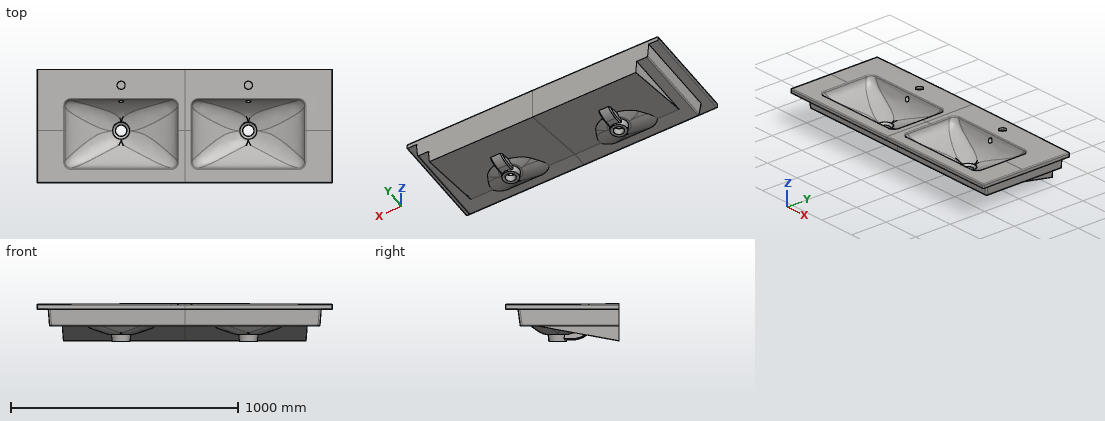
import cadquery as cq


LENGTH = 1300.3
DEPTH = 500.15
HEIGHT = 167.74

DECK_BOTTOM = -25.0
DECK_CROWN = 2.7
DECK_TOP_ROUND = 5.0
DECK_BOTTOM_ROUND = 4.0
DECK_CORNER_ROUND = 5.0

BODY_SIDE_INSET = 49.0
BODY_FRONT_INSET = 55.0
BODY_BOTTOM = -99.0
BODY_SIDE_DRAFT = 6.0
BODY_FRONT_DRAFT = 10.0
BODY_CORNER_ROUND = 9.0
BODY_BOTTOM_ROUND = 6.0

WEDGE_SIDE_INSET = 111.0
WEDGE_SIDE_DRAFT = 5.0
WEDGE_BOTTOM = -164.5
WEDGE_REACH = 355.0

BOWL_OFFSET = 280.0
BOWL_Y = -285.0
DRAIN_Y = -270.0
WALL = 14.0
FLOOR = -122.0
DRAIN_DIAMETER = 48.55
DRAIN_SEAT_RADIUS = 37.0
DRAIN_SEAT_DEPTH = 9.0
SPUD_TOP = -136.0
SPUD_TOP_RADIUS = 43.0
SPUD_BOTTOM_RADIUS = 39.0
BOWL_RIM_ROUND = 5.0

BOWL_LEVELS = [
    (0.0, 495.0, 305.0, 28.0, BOWL_Y),
    (-30.0, 477.0, 289.0, 36.0, BOWL_Y),
    (-62.0, 394.0, 250.0, 50.0, -281.0),
    (-90.0, 266.0, 188.0, 62.0, -273.0),
    (-110.0, 156.0, 134.0, 60.0, -271.0),
    (FLOOR, 78.0, 78.0, 38.0, DRAIN_Y),
]
HIDDEN_SHELL_LEVELS = 2

TAP_Y = -70.0
TAP_DIAMETER = 36.0
TAP_DEPTH = 10.0
OVERFLOW_DIAMETER = 22.0
OVERFLOW_Z = -33.0
OVERFLOW_END_Y = -125.0
CHANNEL_WIDTH = 60.0
CHANNEL_EDGE = 6.0
CHANNEL_START_Y = -130.0
CHANNEL_START_Z = -128.0
CHANNEL_BEND_Y = -165.0
CHANNEL_BEND_Z = -152.0
CHANNEL_FLAT_Y = -201.0
CHANNEL_BOTTOM = -160.0


def deck():
    """Level slab, rounded on its three free sides."""
    slab = cq.Workplane("XY", origin=(0, -DEPTH / 2, DECK_BOTTOM)).box(
        LENGTH, DEPTH, -DECK_CROWN - DECK_BOTTOM, centered=(True, True, False)
    )
    slab = slab.edges("|Z and <Y").fillet(DECK_CORNER_ROUND)
    slab = slab.faces("<Z").edges("not >Y").fillet(DECK_BOTTOM_ROUND)
    return slab.faces(">Z").edges("not >Y").fillet(DECK_TOP_ROUND)


def deck_crown():
    """Slight rise along the wall that fades into the level deck."""
    half = LENGTH / 2 - DECK_TOP_ROUND
    root = -DECK_CROWN - DECK_TOP_ROUND
    return (
        cq.Workplane("XZ")
        .moveTo(-half, root)
        .lineTo(half, root)
        .lineTo(half, -DECK_CROWN)
        .threePointArc((0, 0), (-half, -DECK_CROWN))
        .close()
        .workplane(offset=-DRAIN_Y)
        .moveTo(-half, root)
        .lineTo(half, root)
        .lineTo(half, -DECK_CROWN)
        .lineTo(-half, -DECK_CROWN)
        .close()
        .loft(ruled=True)
    )


def tapered_block(top_z, bottom_z, top_half, bottom_half, top_reach, bottom_reach):
    """Block against the wall with its own half length and reach at each level."""
    return (
        cq.Workplane("XY", origin=(0, 0, top_z))
        .center(0, -top_reach / 2)
        .rect(2 * top_half, top_reach)
        .workplane(offset=bottom_z - top_z)
        .center(0, (top_reach - bottom_reach) / 2)
        .rect(2 * bottom_half, bottom_reach)
        .loft(ruled=True)
    )


def body():
    top_half = LENGTH / 2 - BODY_SIDE_INSET
    top_reach = DEPTH - BODY_FRONT_INSET
    block = tapered_block(
        DECK_BOTTOM,
        BODY_BOTTOM,
        top_half,
        top_half - BODY_SIDE_DRAFT,
        top_reach,
        top_reach - BODY_FRONT_DRAFT,
    )
    block = block.faces("<Y").edges("not |X").fillet(BODY_CORNER_ROUND)
    return block.faces("<Z").edges("not >Y").fillet(BODY_BOTTOM_ROUND)


def wedge():
    top_half = LENGTH / 2 - WEDGE_SIDE_INSET
    block = tapered_block(
        BODY_BOTTOM,
        WEDGE_BOTTOM,
        top_half,
        top_half - WEDGE_SIDE_DRAFT,
        WEDGE_REACH,
        WEDGE_REACH,
    )
    profile = (
        cq.Workplane("YZ")
        .polyline([(0, BODY_BOTTOM), (0, WEDGE_BOTTOM), (-WEDGE_REACH, BODY_BOTTOM)])
        .close()
        .extrude(LENGTH / 2, both=True)
    )
    return block.intersect(profile)


def bowl_form(x, levels, wall):
    """Dish lofted through rounded rectangles, grown outwards by a wall thickness."""
    sections = []
    for z, length, width, radius, y in levels:
        outline = cq.Sketch().rect(length + 2 * wall, width + 2 * wall)
        outline = outline.vertices().fillet(radius + wall)
        sections.append(outline.moved(cq.Location(cq.Vector(x, y, z - wall))))
    return cq.Workplane("XY").placeSketch(*sections).loft()


def spud(x):
    return (
        cq.Workplane("XY", origin=(x, DRAIN_Y, -HEIGHT))
        .circle(SPUD_BOTTOM_RADIUS)
        .workplane(offset=HEIGHT + SPUD_TOP)
        .circle(SPUD_TOP_RADIUS)
        .loft()
    )


def overflow_channel(x):
    """Rib with a rounded rear end that leads the overflow forward to the drain spud."""
    profile = (
        cq.Workplane("YZ", origin=(x, 0, 0))
        .moveTo(CHANNEL_START_Y, CHANNEL_START_Z)
        .threePointArc((CHANNEL_BEND_Y, CHANNEL_BEND_Z), (CHANNEL_FLAT_Y, CHANNEL_BOTTOM))
        .lineTo(DRAIN_Y, CHANNEL_BOTTOM)
        .lineTo(DRAIN_Y, SPUD_TOP)
        .lineTo(CHANNEL_FLAT_Y, BODY_BOTTOM)
        .lineTo(CHANNEL_START_Y, BODY_BOTTOM)
        .close()
        .extrude(CHANNEL_WIDTH / 2, both=True)
    )
    half = CHANNEL_WIDTH / 2
    plan = (
        cq.Workplane("XY", origin=(x, 0, -HEIGHT))
        .moveTo(-half, DRAIN_Y)
        .lineTo(half, DRAIN_Y)
        .lineTo(half, CHANNEL_FLAT_Y)
        .threePointArc((0, CHANNEL_START_Y), (-half, CHANNEL_FLAT_Y))
        .close()
        .extrude(HEIGHT)
    )
    rib = profile.intersect(plan)
    return rib.faces("<Z").edges("|Y").chamfer(CHANNEL_EDGE)


def drain(x):
    seat_bottom = FLOOR - DRAIN_SEAT_DEPTH
    seat = (
        cq.Workplane("XY", origin=(x, DRAIN_Y, seat_bottom))
        .circle(DRAIN_DIAMETER / 2)
        .workplane(offset=DRAIN_SEAT_DEPTH)
        .circle(DRAIN_SEAT_RADIUS)
        .loft()
    )
    bore = (
        cq.Workplane("XY", origin=(x, DRAIN_Y, -HEIGHT))
        .circle(DRAIN_DIAMETER / 2)
        .extrude(HEIGHT + FLOOR)
    )
    return seat.union(bore)


def tap_hole(x):
    return (
        cq.Workplane("XY", origin=(x, TAP_Y, -DECK_CROWN - TAP_DEPTH))
        .circle(TAP_DIAMETER / 2)
        .extrude(TAP_DEPTH + DECK_CROWN)
    )


def overflow_hole(x):
    return (
        cq.Workplane("XZ", origin=(x, OVERFLOW_END_Y, OVERFLOW_Z))
        .circle(OVERFLOW_DIAMETER / 2)
        .extrude(OVERFLOW_END_Y - BOWL_Y)
    )


def rounded_bowl_rim(part, x):
    """Round the edges where the bowl meets the deck."""
    reach = BOWL_LEVELS[0][1] / 2 + BOWL_RIM_ROUND
    front = BOWL_Y - BOWL_LEVELS[0][2] / 2 - BOWL_RIM_ROUND
    back = BOWL_Y + BOWL_LEVELS[0][2] / 2 + BOWL_RIM_ROUND
    rim = cq.selectors.BoxSelector(
        (x - reach, front, -2 * DECK_CROWN), (x + reach, back, DECK_CROWN), boundingbox=True
    )
    return part.edges(rim).fillet(BOWL_RIM_ROUND)


def half_basin():
    """Left half of the washbasin with its bowl, drain, tap hole and overflow."""
    left_side = cq.Workplane("XY").box(LENGTH, 3 * DEPTH, 3 * HEIGHT)
    left_side = left_side.translate((-LENGTH / 2, 0, 0))
    half = deck().union(deck_crown()).union(body()).union(wedge()).intersect(left_side)

    x = -BOWL_OFFSET
    shell = bowl_form(x, BOWL_LEVELS[HIDDEN_SHELL_LEVELS:], WALL)
    half = half.union(shell).union(overflow_channel(x)).union(spud(x))
    half = half.cut(bowl_form(x, BOWL_LEVELS, 0))
    half = rounded_bowl_rim(half, x)
    return half.cut(drain(x)).cut(tap_hole(x)).cut(overflow_hole(x))


left_half = half_basin()
both_halves = left_half.union(left_half.mirror("YZ"), clean=False)
result = cq.Workplane("XY").newObject([both_halves.solids().val()])